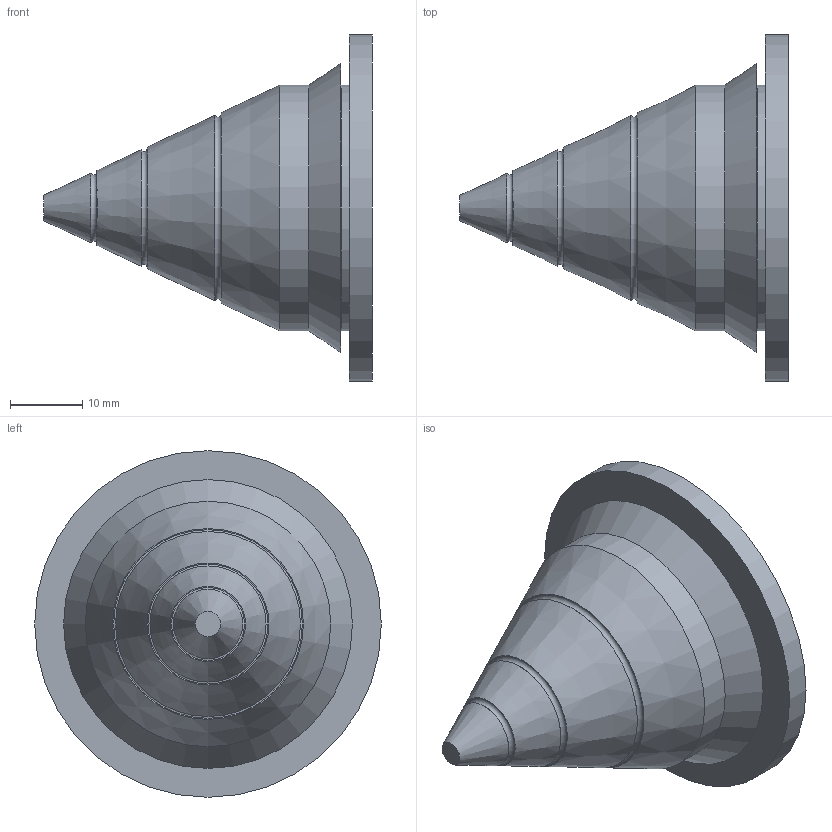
import cadquery as cq
import math

tip_radius = 1.75
body_radius = 17.0
cone_half_angle = math.radians(25)
collar_length = 4.0
flare_length = 4.43
flare_radius = 20.0
neck_length = 1.2
neck_fillet_radius = 0.15
flange_thickness = 3.2
flange_radius = 24.0

groove_radius = 0.48
groove_centre_height = 0.06
groove_positions = (6.93, 13.9, 24.13)

cone_end = (body_radius - tip_radius) / math.tan(cone_half_angle)
collar_end = cone_end + collar_length
flare_end = collar_end + flare_length
neck_end = flare_end + neck_length
flange_end = neck_end + flange_thickness


def revolve_about_x(profile):
    """Turn a closed profile, drawn as (axial, radial), fully about the X axis."""
    return profile.revolve(360, (0, 0, 0), (1, 0, 0))


def plug_body():
    """Cone, straight collar, flared lip, filleted neck and flange in one profile."""
    profile = (
        cq.Workplane("XZ")
        .moveTo(0, 0)
        .lineTo(0, tip_radius)
        .lineTo(cone_end, body_radius)
        .lineTo(collar_end, body_radius)
        .lineTo(flare_end, flare_radius)
        .lineTo(flare_end, body_radius + neck_fillet_radius)
        .radiusArc((flare_end + neck_fillet_radius, body_radius), -neck_fillet_radius)
        .lineTo(neck_end, body_radius)
        .lineTo(neck_end, flange_radius)
        .lineTo(flange_end, flange_radius)
        .lineTo(flange_end, 0)
        .close()
    )
    return revolve_about_x(profile)


def ring_groove(position):
    """Torus that cuts one ring groove into the cone."""
    cone_radius = tip_radius + position * math.tan(cone_half_angle)
    centre_radius = cone_radius + groove_centre_height
    profile = cq.Workplane("XZ").center(position, centre_radius).circle(groove_radius)
    return profile.revolve(360, (0, -centre_radius, 0), (1, -centre_radius, 0))


result = plug_body()
for groove_position in groove_positions:
    result = result.cut(ring_groove(groove_position))